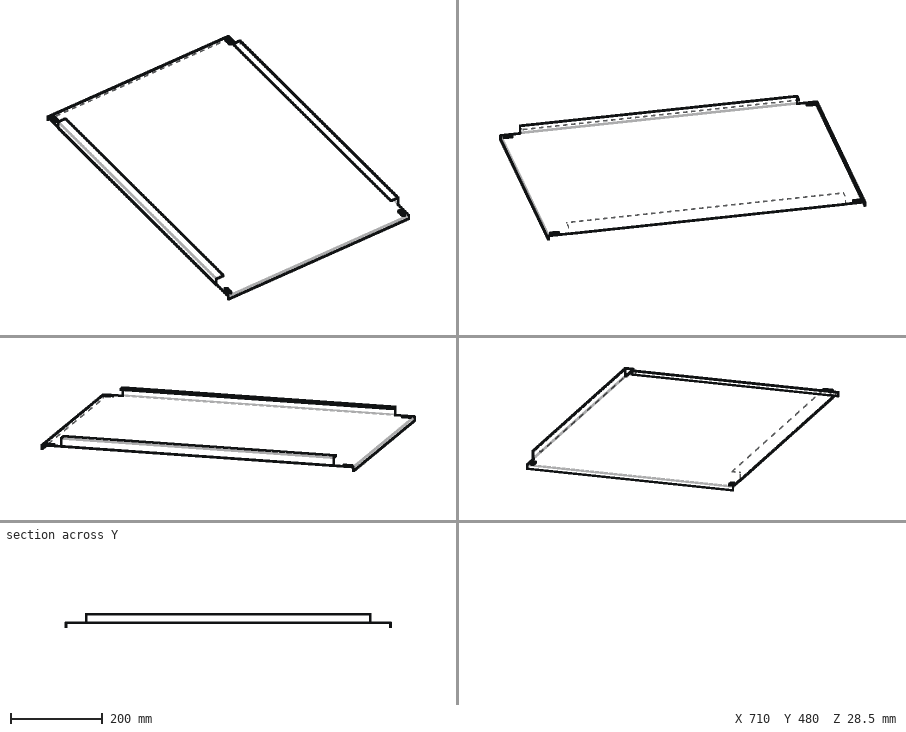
import cadquery as cq

LENGTH = 710.0
WIDTH = 480.0
SHEET = 1.5
INNER_RADIUS = 1.0
OUTER_RADIUS = INNER_RADIUS + SHEET

CHANNEL_LENGTH = 620.0
CHANNEL_HEIGHT = 20.0
LIP_WIDTH = 20.0

END_FLANGE_HEIGHT = 10.0

PLATE_WIDTH = WIDTH - 2 * OUTER_RADIUS

SLOT_LENGTH = 20.0
SLOT_WIDTH = 7.0
SLOT_END_INSET = 16.0
SLOT_SIDE_INSET = 11.5


def plate_with_end_flanges():
    """Flat plate between Z = 0 and Z = SHEET, with both short edges folded down."""
    outer = (
        cq.Workplane("XY")
        .box(LENGTH, PLATE_WIDTH, END_FLANGE_HEIGHT)
        .edges("|Y and >Z")
        .fillet(OUTER_RADIUS)
    )
    inner = (
        cq.Workplane("XY")
        .box(LENGTH - 2 * SHEET, PLATE_WIDTH, END_FLANGE_HEIGHT)
        .edges("|Y and >Z")
        .fillet(INNER_RADIUS)
        .translate((0, 0, -SHEET))
    )
    return outer.cut(inner).translate((0, 0, SHEET - END_FLANGE_HEIGHT / 2))


def channel(side):
    """C-shaped fold on the +Y (side = 1) or -Y (side = -1) edge, opening inward."""
    center_y = side * (WIDTH - LIP_WIDTH) / 2
    outward_edges = "|X and >Y" if side > 0 else "|X and <Y"
    outer = (
        cq.Workplane("XY")
        .box(CHANNEL_LENGTH, LIP_WIDTH, CHANNEL_HEIGHT)
        .edges(outward_edges)
        .fillet(OUTER_RADIUS)
    )
    inner = (
        cq.Workplane("XY")
        .box(CHANNEL_LENGTH, LIP_WIDTH, CHANNEL_HEIGHT - 2 * SHEET)
        .edges(outward_edges)
        .fillet(INNER_RADIUS)
        .translate((0, -side * SHEET, 0))
    )
    return outer.cut(inner).translate((0, center_y, CHANNEL_HEIGHT / 2))


def corner_slots():
    """Cutters for the four corner slots, long axis along X."""
    return (
        cq.Workplane("XY")
        .rarray(LENGTH - 2 * SLOT_END_INSET, WIDTH - 2 * SLOT_SIDE_INSET, 2, 2)
        .slot2D(SLOT_LENGTH, SLOT_WIDTH)
        .extrude(SHEET)
    )


result = plate_with_end_flanges()
for edge_side in (-1, 1):
    result = result.union(channel(edge_side))
result = result.cut(corner_slots())